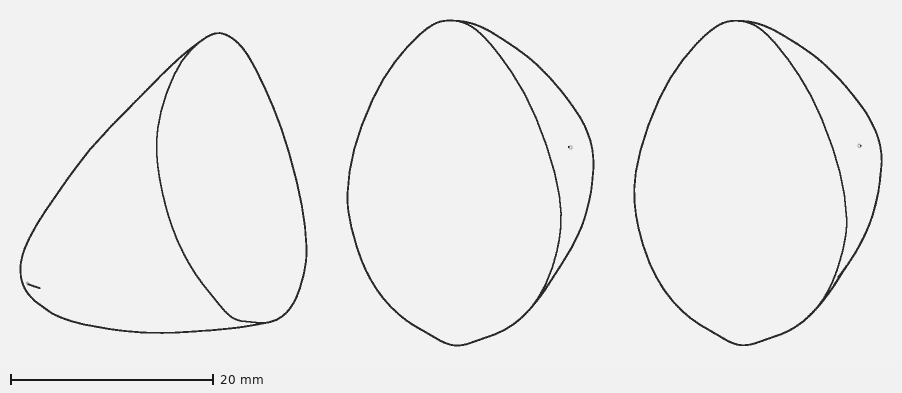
import cadquery as cq
import math

HEIGHT = 32.98
HALF_WIDTH = 11.77
LENGTH = 26.0
WIDEST_HEIGHT = 14.18
TIP_HEIGHT = 14.68
TIP_RADIUS = 0.15

BACK_OUTLINE = [
    (2.9, 0.9),
    (4.88, 1.78),
    (6.95, 3.15),
    (9.35, 5.97),
    (11.15, 10.12),
    (HALF_WIDTH, WIDEST_HEIGHT),
    (11.1, 18.47),
    (9.63, 22.65),
    (7.45, 26.8),
    (5.3, 29.6),
    (3.1, 31.8),
    (1.88, 32.6),
]

SECTIONS = [
    (0.0, HALF_WIDTH, 0.0, HEIGHT),
    (5.77, 10.35, 1.4, 30.9),
    (11.4, 8.97, 3.33, 28.03),
    (15.2, 7.7, 5.05, 25.75),
    (18.95, 5.97, 7.12, 23.1),
    (22.75, 4.12, 9.75, 19.95),
    (24.35, 3.05, 11.38, 18.25),
    (25.25, 1.98, 12.55, 16.82),
    (25.8, 0.92, 13.7, 15.63),
    (LENGTH, TIP_RADIUS, TIP_HEIGHT - TIP_RADIUS, TIP_HEIGHT + TIP_RADIUS),
]


def section_wire(distance, half_width, bottom, top):
    """Closed section that changes from the back egg to an ellipse toward the tip."""
    progress = distance / LENGTH
    roundness = progress**3
    widest = WIDEST_HEIGHT + (TIP_HEIGHT - WIDEST_HEIGHT) * progress
    right_side = []
    for x, z in BACK_OUTLINE:
        if z < WIDEST_HEIGHT:
            level = (z - WIDEST_HEIGHT) / WIDEST_HEIGHT
            reach = widest - bottom
        else:
            level = (z - WIDEST_HEIGHT) / (HEIGHT - WIDEST_HEIGHT)
            reach = top - widest
        egg_width = x / HALF_WIDTH
        ellipse_width = math.sqrt(1 - level**2)
        width = egg_width + roundness * (ellipse_width - egg_width)
        right_side.append((half_width * width, widest + reach * level))
    left_side = [(-x, z) for x, z in reversed(right_side)]
    outline = right_side + [(0, top)] + left_side + [(0, bottom)]
    start = BACK_OUTLINE.index((HALF_WIDTH, WIDEST_HEIGHT))
    outline = outline[start:] + outline[:start]
    points = [cq.Vector(x, -distance, z) for x, z in outline]
    return cq.Wire.assembleEdges([cq.Edge.makeSpline(points, periodic=True)])


def nose():
    """Smooth skin through every section, closed by a tiny flat at the tip and by the flat back."""
    wires = [section_wire(*section) for section in SECTIONS]
    return cq.occ_impl.shapes.loft(*wires, cap=True, parametrization="chordal")


result = cq.Workplane("XY").newObject([nose()])